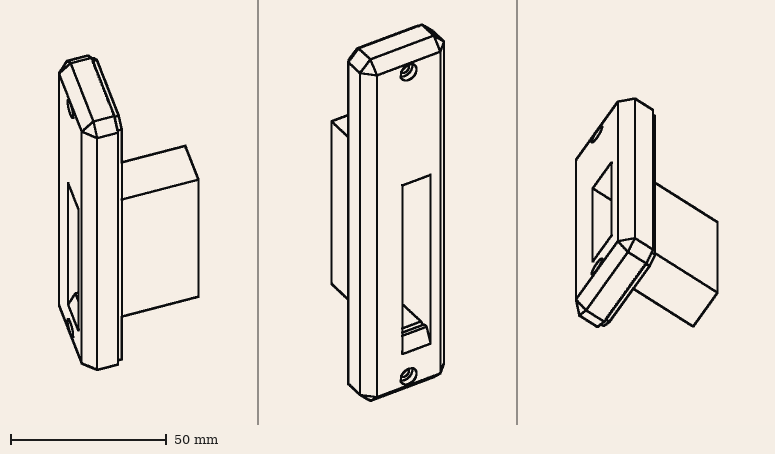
import cadquery as cq

plate_width = 32.0
plate_height = 136.0
plate_thickness = 11.0
plate_chamfer = 4.0

step_inset = 1.2
step_thickness = 1.6
step_chamfer = 3.3
step_back = plate_thickness + step_thickness

total_depth = 40.0
box_width = 14.0
box_center_x = 3.0
box_top = 17.8
box_bottom = -46.9
side_wall = 1.6
end_wall = 1.4

slot_width = box_width - 2 * side_wall
slot_top = box_top - end_wall
floor = box_bottom + end_wall
mouth_bottom = -50.7
ramp_run = 2.5
groove_depth = 0.8
groove_start = 4.0
groove_end = 5.8

hole_diameter = 3.3
counterbore_diameter = 6.0
counterbore_depth = 2.5
hole_spacing = 121.0


def chamfered_plate():
    """Plate with its front edges and its four corners cut at 45 degrees."""
    plate = cq.Workplane("XY").box(plate_width, plate_thickness, plate_height)
    plate = plate.translate((0, plate_thickness / 2, 0))
    return plate.edges("|Y or <Y").chamfer(plate_chamfer)


def back_step():
    """Slightly smaller plate on the back of the front plate."""
    step = cq.Workplane("XY").box(
        plate_width - 2 * step_inset, step_thickness, plate_height - 2 * step_inset
    )
    step = step.edges("|Y").chamfer(step_chamfer)
    return step.translate((0, plate_thickness + step_thickness / 2, 0))


def back_box():
    """Box from the back of the step to the rear of the part."""
    box = cq.Workplane("XY").box(
        box_width, total_depth - step_back, box_top - box_bottom, centered=(True, False, False)
    )
    return box.translate((box_center_x, step_back, box_bottom))


def slot():
    """Slot with a steep ramp at its mouth and a shallow groove in its floor."""
    side_profile = [
        (0, slot_top),
        (0, mouth_bottom),
        (ramp_run, floor),
        (groove_start, floor),
        (groove_start, floor - groove_depth),
        (groove_end, floor),
        (total_depth - end_wall, floor),
        (total_depth - end_wall, slot_top),
    ]
    cutter = cq.Workplane("YZ").polyline(side_profile).close().extrude(slot_width / 2, both=True)
    return cutter.translate((box_center_x, 0, 0))


def screw_holes(body):
    """Counterbored through holes near both ends of the plate."""
    return (
        body.faces("<Y")
        .workplane(origin=(0, 0, 0))
        .rarray(1.4, hole_spacing, 1, 2)
        .cboreHole(hole_diameter, counterbore_diameter, counterbore_depth)
    )


body = chamfered_plate().union(back_step()).union(back_box()).cut(slot())
result = screw_holes(body)